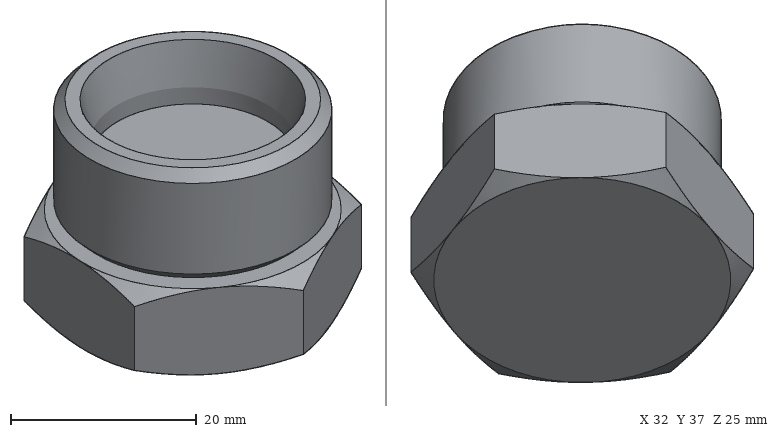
import cadquery as cq
import math

hex_sides = 6
hex_across_flats = 32.0
hex_height = 11.0
hex_chamfer_angle = 30.0

total_height = 25.0
thread_diameter = 30.0
thread_pitch = 2.0
thread_depth_ratio = 0.6134

seat_diameter = 22.0
socket_mouth_diameter = 24.3
socket_cone_half_angle = 12.0
socket_depth = 7.5

hex_across_corners = hex_across_flats / math.cos(math.pi / hex_sides)
hex_flat_radius = hex_across_flats / 2
hex_corner_radius = hex_across_corners / 2
hex_chamfer_height = (hex_corner_radius - hex_flat_radius) * math.tan(math.radians(hex_chamfer_angle))

thread_radius = thread_diameter / 2
thread_depth = thread_depth_ratio * thread_pitch
thread_root_radius = thread_radius - thread_depth

seat_radius = seat_diameter / 2
socket_mouth_radius = socket_mouth_diameter / 2
socket_cone_depth = (socket_mouth_radius - seat_radius) / math.tan(math.radians(socket_cone_half_angle))


def revolve_profile(points):
    """Revolve a closed (radius, height) outline about the Z axis."""
    full_turn = 360
    return cq.Workplane("XZ").polyline(points).close().revolve(full_turn, (0, 0, 0), (0, 1, 0))


def make_hexagon():
    """Hexagon with corners on the Y axis, its corners turned off conically at both ends."""
    corner_direction = 90
    prism = (
        cq.Workplane("XY")
        .transformed(rotate=(0, 0, corner_direction))
        .polygon(hex_sides, hex_across_corners)
        .extrude(hex_height)
    )
    turned_blank = revolve_profile([
        (0, 0),
        (hex_flat_radius, 0),
        (hex_corner_radius, hex_chamfer_height),
        (hex_corner_radius, hex_height - hex_chamfer_height),
        (hex_flat_radius, hex_height),
        (0, hex_height),
    ])
    return prism.intersect(turned_blank)


def make_collar():
    """Threaded collar, tapering at 45 degrees to the thread root at both ends."""
    return revolve_profile([
        (0, hex_height),
        (thread_root_radius, hex_height),
        (thread_radius, hex_height + thread_depth),
        (thread_radius, total_height - thread_depth),
        (thread_root_radius, total_height),
        (0, total_height),
    ])


def make_socket():
    """Blind socket volume, open at the top of the collar."""
    return revolve_profile([
        (0, total_height - socket_depth),
        (seat_radius, total_height - socket_depth),
        (seat_radius, total_height - socket_cone_depth),
        (socket_mouth_radius, total_height),
        (0, total_height),
    ])


result = make_hexagon().union(make_collar()).cut(make_socket())